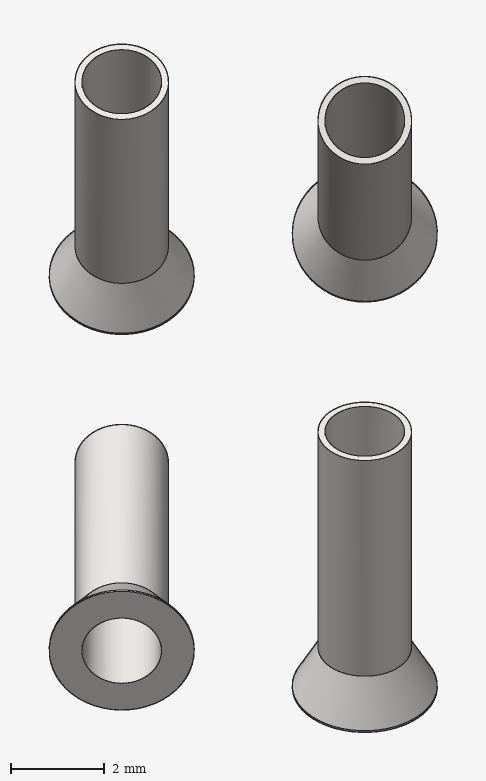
import cadquery as cq

total_height = 7.0
tube_diameter = 2.0
bore_diameter = 1.7
flare_diameter = 3.1
flare_height = 1.1
rim_height = 0.05

tube_radius = tube_diameter / 2
bore_radius = bore_diameter / 2
flare_radius = flare_diameter / 2

wall_section = (
    cq.Workplane("XZ")
    .moveTo(bore_radius, 0)
    .lineTo(flare_radius, 0)
    .lineTo(flare_radius, rim_height)
    .lineTo(tube_radius, flare_height)
    .lineTo(tube_radius, total_height)
    .lineTo(bore_radius, total_height)
    .close()
)

result = wall_section.revolve(360, (0, 0, 0), (0, 1, 0))